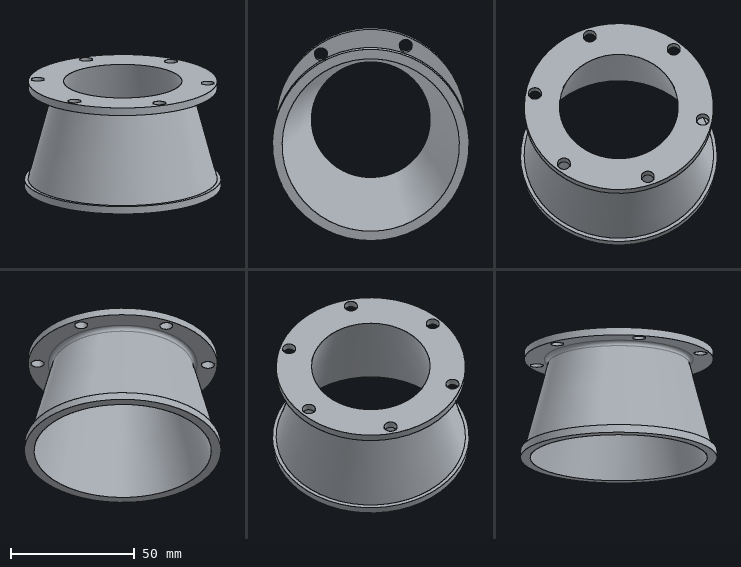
import cadquery as cq
import math

height = 44.2
base_diameter = 79.4
flange_diameter = 76.4
plate_thickness = 3.2

taper_angle = 15.0
taper = math.tan(math.radians(taper_angle))
cone_base_radius = flange_diameter / 2
bore_top_radius = 23.9
neck_fillet = 1.5

hole_count = 6
hole_diameter = 5.15
bolt_circle_radius = 34.4

flange_bottom = height - plate_thickness
neck_radius = cone_base_radius - (flange_bottom - plate_thickness) * taper
bore_base_radius = bore_top_radius + height * taper


def revolved_body():
    """Base ring, cone and top flange around one tapered bore."""
    profile = (
        cq.Workplane("XZ")
        .moveTo(bore_base_radius, 0)
        .lineTo(base_diameter / 2, 0)
        .lineTo(base_diameter / 2, plate_thickness)
        .lineTo(cone_base_radius, plate_thickness)
        .lineTo(neck_radius, flange_bottom)
        .lineTo(flange_diameter / 2, flange_bottom)
        .lineTo(flange_diameter / 2, height)
        .lineTo(bore_top_radius, height)
        .close()
    )
    return profile.revolve(360, (0, 0, 0), (0, 1, 0))


def round_neck(body):
    """Fillet the corner where the cone meets the underside of the flange."""
    second_smallest = 1
    neck_edge = cq.selectors.RadiusNthSelector(second_smallest)
    return body.edges("%CIRCLE").edges(neck_edge).fillet(neck_fillet)


def bolt_holes():
    """Cutters that pass through the top flange only."""
    return (
        cq.Workplane("XY")
        .workplane(offset=flange_bottom)
        .polarArray(bolt_circle_radius, 0, 360, hole_count)
        .circle(hole_diameter / 2)
        .extrude(plate_thickness)
    )


result = round_neck(revolved_body()).cut(bolt_holes())